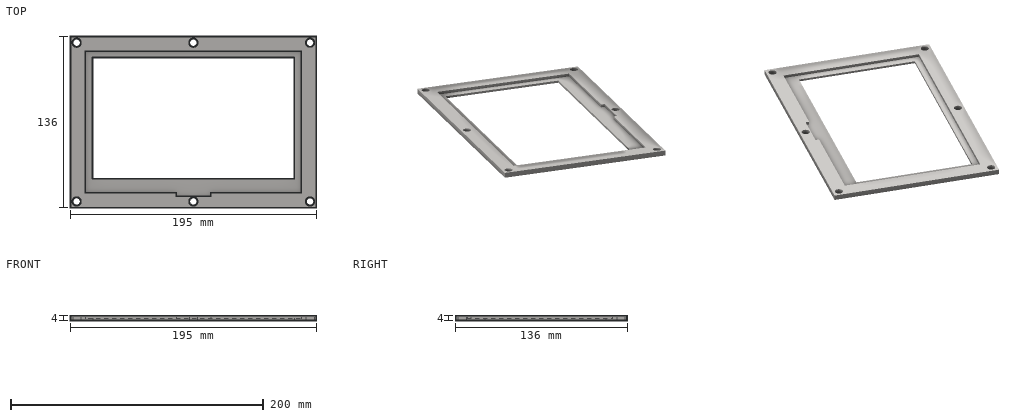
import cadquery as cq

LENGTH = 195.0
WIDTH = 136.0
THICKNESS = 4.0

RECESS_LENGTH = 171.0
RECESS_WIDTH = 112.0
RECESS_DEPTH = 2.3

NOTCH_LENGTH = 27.5
NOTCH_WIDTH = 3.0

WINDOW_LENGTH = 159.7
WINDOW_WIDTH = 95.7
WINDOW_CENTER_Y = 3.1

HOLE_DIAMETER = 6.5
HOLE_EDGE_DISTANCE = 5.0
HOLE_SPACING_X = LENGTH / 2 - HOLE_EDGE_DISTANCE
HOLE_SPACING_Y = WIDTH - 2 * HOLE_EDGE_DISTANCE


def top_pocket(length, width, center_y, depth):
    """Rectangular block reaching down from the top face."""
    return (
        cq.Workplane("XY", origin=(0, center_y, THICKNESS - depth))
        .rect(length, width)
        .extrude(depth)
    )


def mounting_holes():
    return (
        cq.Workplane("XY")
        .rarray(HOLE_SPACING_X, HOLE_SPACING_Y, 3, 2)
        .circle(HOLE_DIAMETER / 2)
        .extrude(THICKNESS)
    )


plate = cq.Workplane("XY").rect(LENGTH, WIDTH).extrude(THICKNESS)
recess = top_pocket(RECESS_LENGTH, RECESS_WIDTH, 0, RECESS_DEPTH)
notch_center_y = -(RECESS_WIDTH + NOTCH_WIDTH) / 2
notch = top_pocket(NOTCH_LENGTH, NOTCH_WIDTH, notch_center_y, RECESS_DEPTH)
window = top_pocket(WINDOW_LENGTH, WINDOW_WIDTH, WINDOW_CENTER_Y, THICKNESS)

result = plate.cut(recess).cut(notch).cut(window).cut(mounting_holes())